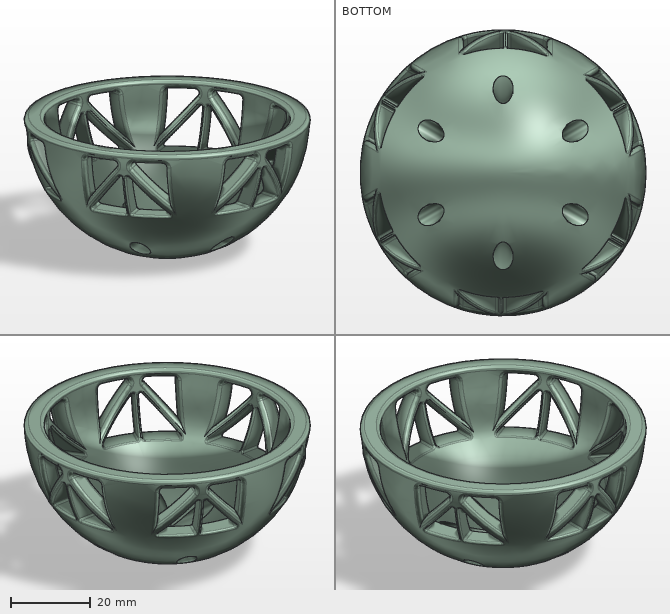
import cadquery as cq
import math

outer_radius = 36.0
wall = 5.0
inner_radius = outer_radius - wall
rim_fillet = 1.0

repeat_count = 6
repeat_angle = 360.0 / repeat_count

window_shift = 0.55
window_half_width = 10.5
window_top = -2.15
window_bottom = -17.1
brace_angle = math.radians(49.0)
brace_width = 2.0
brace_upper_start = 0.55
mullion_width = 1.0

upper_corner_radius = 1.0
upper_edge_fillet = 1.0
lower_corner_radius = 0.5
lower_edge_fillet = 0.49

drain_diameter = 5.0
drain_height = -29.0

tolerance = 0.001


def make_section():
    """Profile of the wall right of the axis, with both rim edges rounded."""
    outer_center = math.sqrt((outer_radius - rim_fillet) ** 2 - rim_fillet**2)
    inner_center = math.sqrt((inner_radius + rim_fillet) ** 2 - rim_fillet**2)

    def on_sphere(radius, angle):
        return (radius * math.cos(angle), radius * math.sin(angle))

    def on_rim_fillet(center, angle):
        return (center + rim_fillet * math.cos(angle), -rim_fillet + rim_fillet * math.sin(angle))

    outer_angle = -math.atan2(rim_fillet, outer_center)
    inner_angle = -math.atan2(rim_fillet, inner_center)
    outer_mid = (outer_angle + math.pi / 2) / 2
    inner_mid = (inner_angle + math.pi + math.pi / 2) / 2
    return (
        cq.Workplane("XZ")
        .moveTo(0, -outer_radius)
        .threePointArc(on_sphere(outer_radius, -math.pi / 4), on_sphere(outer_radius, outer_angle))
        .threePointArc(on_rim_fillet(outer_center, outer_mid), (outer_center, 0))
        .lineTo(inner_center, 0)
        .threePointArc(on_rim_fillet(inner_center, inner_mid), on_sphere(inner_radius, inner_angle))
        .threePointArc(on_sphere(inner_radius, -math.pi / 4), (0, -inner_radius))
        .close()
    )


def brace_upper_edge(u):
    """Height of the brace's upper edge at sideways distance u."""
    return window_top - (u - brace_upper_start) * math.tan(brace_angle)


def brace_lower_edge(u):
    """Height of the brace's lower edge at sideways distance u."""
    return brace_upper_edge(u) - brace_width / math.cos(brace_angle)


def make_prism(points, side):
    """Extrude a triangle outward from the axis towards -Y; side = -1 mirrors it."""
    placed = [(window_shift + side * u, z) for u, z in points]
    return cq.Workplane("XZ").polyline(placed).close().extrude(outer_radius + wall)


def make_upper_opening(side):
    """Triangle between a brace, the rim and the side of the window; its sharp lower corner stays unrounded."""
    points = [
        (brace_upper_start, window_top),
        (window_half_width, window_top),
        (window_half_width, brace_upper_edge(window_half_width)),
    ]
    return make_prism(points, side).edges("|Y").edges(">Z").fillet(upper_corner_radius)


def make_lower_opening(side):
    """Triangle between a brace, the mullion and the sill."""
    mullion_edge = mullion_width / 2
    brace_foot = (brace_lower_edge(0) - window_bottom) / math.tan(brace_angle)
    points = [
        (mullion_edge, brace_lower_edge(mullion_edge)),
        (brace_foot, window_bottom),
        (mullion_edge, window_bottom),
    ]
    return make_prism(points, side).edges("|Y").fillet(lower_corner_radius)


def around_axis(shape):
    """Copies of a shape made towards -Y, one per repeat."""
    return [shape.rotate((0, 0, 0), (0, 0, 1), i * repeat_angle) for i in range(repeat_count)]


def cut_all(body, cutters):
    """Remove every cutter from the body in one operation."""
    return cq.Workplane(body.val().cut(*[cutter.val() for cutter in cutters]).Solids()[0])


def cut_openings(body, make_opening, edge_fillet):
    """Cut one kind of opening on both sides of every window and round its rims on the two spheres."""
    old_centers = [edge.Center() for edge in body.edges().vals()]
    openings = around_axis(make_opening(-1)) + around_axis(make_opening(1))
    body = cut_all(body, openings)
    rims = []
    for edge in body.edges().vals():
        center = edge.Center()
        is_new = all((center - old).Length > tolerance for old in old_centers)
        center_distances = [edge.positionAt(t).Length for t in (0, 0.5, 1)]
        if is_new and max(center_distances) - min(center_distances) < tolerance:
            rims.append(edge)
    return body.newObject(rims).fillet(edge_fillet)


def make_drain():
    """Radial drill towards -Y, starting on the bowl's axis."""
    drill = cq.Workplane("XZ").center(0, drain_height).circle(drain_diameter / 2)
    return drill.extrude(outer_radius)


result = make_section().revolve(360, (0, 0, 0), (0, 1, 0))
result = cut_all(result, around_axis(make_drain()))
result = cut_openings(result, make_upper_opening, upper_edge_fillet)
result = cut_openings(result, make_lower_opening, lower_edge_fillet)